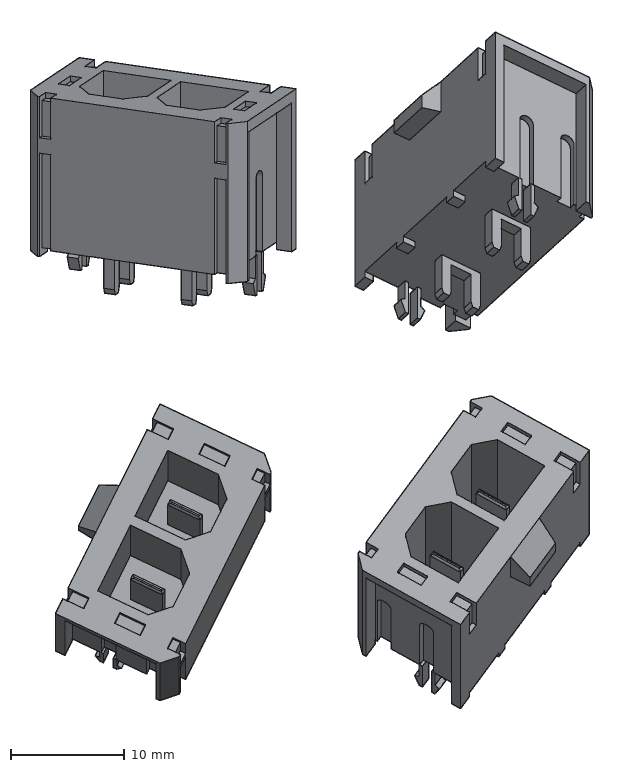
import cadquery as cq


width = 21.08
depth = 11.53
height = 14.84
overall_height = 18.57
corner_chamfer = 1.27
standoff = 0.67

ramp_reach = 1.86
ramp_base_width = 4.7
ramp_tip_width = 4.16
ramp_tip_top_drop = 2.32
ramp_tip_bottom_drop = 3.82
ramp_base_bottom_drop = 3.52

pitch = 7.52
cavity_size = 6.6
cavity_chamfer = 1.65
cavity_depth = 12.0

recess_depth = 1.5
recess_front = 1.65
recess_back = 10.58
recess_top_wall = 1.05

groove_width = 1.07
groove_outer = width / 2 - recess_depth
groove_center = groove_outer - groove_width / 2
front_groove_depth = 0.52
back_groove_depth = 0.45
top_groove_depth = 0.52
front_groove_run = 1.26
back_groove_run = 2.04
upper_groove_length = 3.82
lower_groove_drop = 5.25
top_window_length = 2.5
top_window_y = 5.2

foot_length = 1.26
foot_width = 1.05

clip_slot_width = 1.44
clip_slot_depth = 0.58
clip_slot_drop = 6.49
clip_slot_ys = (2.58, 7.02)

clip_y = 7.06
clip_half_gap = 0.48
clip_half_width = 0.86
clip_barb_half_width = 1.3
clip_tip_half_width = 0.82
clip_neck_z = -1.4
clip_barb_z = -1.73
clip_bottom_z = -3.0

contact_y = depth / 2
blade_thickness = 0.54
blade_length = 3.16
blade_top_drop = 4.0
blade_tip_chamfer = 0.2
leg_thickness = 1.05
leg_width = 1.02
leg_tip_width = 0.66
leg_tip_height = 0.52
leg_ys = (3.66, 6.84)
leg_bottom_z = height - overall_height

contact_xs = (-pitch / 2, pitch / 2)


def box(x_range, y_range, z_range):
    """Axis-aligned block given by its limits on each axis."""
    spans = [high - low for low, high in (x_range, y_range, z_range)]
    corner = (x_range[0], y_range[0], z_range[0])
    return cq.Workplane("XY").box(*spans, centered=False).translate(corner)


def mirrored_pair(feature):
    """The feature together with its mirror image across X = 0."""
    return feature.union(feature.mirror("YZ"))


def profile_across_x(points, center_x, thickness):
    """Plate of the given thickness, centred on center_x, from a (y, z) outline."""
    plate = cq.Workplane("YZ").polyline(points).close().extrude(thickness / 2, both=True)
    return plate.translate((center_x, 0, 0))


def make_housing():
    shell = box((-width / 2, width / 2), (0, depth), (0, height))
    shell = shell.edges("|Z and <Y").chamfer(corner_chamfer)
    return shell.cut(box((-groove_outer, groove_outer), (0, depth), (0, standoff)))


def make_ramp():
    side_profile = profile_across_x(
        [
            (depth, height),
            (depth + ramp_reach, height - ramp_tip_top_drop),
            (depth + ramp_reach, height - ramp_tip_bottom_drop),
            (depth, height - ramp_base_bottom_drop),
        ],
        0,
        ramp_base_width,
    )
    top_profile = (
        cq.Workplane("XY")
        .polyline(
            [
                (-ramp_base_width / 2, depth),
                (-ramp_tip_width / 2, depth + ramp_reach),
                (ramp_tip_width / 2, depth + ramp_reach),
                (ramp_base_width / 2, depth),
            ]
        )
        .close()
        .extrude(height)
    )
    return side_profile.intersect(top_profile)


def make_cavity(center_x):
    cavity = box(
        (center_x - cavity_size / 2, center_x + cavity_size / 2),
        (contact_y - cavity_size / 2, contact_y + cavity_size / 2),
        (height - cavity_depth, height),
    )
    return cavity.edges("|Z and <Y").chamfer(cavity_chamfer)


def make_recess():
    return box(
        (groove_outer, width / 2),
        (recess_front, recess_back),
        (0, height - recess_top_wall),
    )


def make_clip_slot(center_y):
    radius = clip_slot_width / 2
    arc_center_z = height - clip_slot_drop - radius
    floor_x = groove_outer - clip_slot_depth
    slot = box(
        (floor_x, groove_outer),
        (center_y - radius, center_y + radius),
        (0, arc_center_z),
    )
    rounded_top = (
        cq.Workplane("YZ", origin=(floor_x, center_y, arc_center_z))
        .circle(radius)
        .extrude(clip_slot_depth)
    )
    return slot.union(rounded_top)


def make_grooves():
    x_range = (groove_outer - groove_width, groove_outer)
    top_range = (height - top_groove_depth, height)
    upper_range = (height - upper_groove_length, height)
    window_range = (top_window_y - top_window_length / 2, top_window_y + top_window_length / 2)
    grooves = box(x_range, (0, front_groove_run), top_range)
    grooves = grooves.union(box(x_range, (0, front_groove_depth), upper_range))
    grooves = grooves.union(box(x_range, (0, front_groove_depth), (0, height - lower_groove_drop)))
    grooves = grooves.union(box(x_range, window_range, top_range))
    grooves = grooves.union(box(x_range, (depth - back_groove_run, depth), top_range))
    return grooves.union(box(x_range, (depth - back_groove_depth, depth), upper_range))


def make_foot(center_x):
    """Stand-off foot under the back wall, in line with a contact."""
    return box(
        (center_x - foot_width / 2, center_x + foot_width / 2),
        (depth - foot_length, depth),
        (0, standoff),
    )


def make_clip_prong(direction):
    """Barbed prong; direction is -1 for the front prong and +1 for the back one."""
    half_outline = [
        (clip_half_gap, standoff),
        (clip_half_width, standoff),
        (clip_half_width, clip_neck_z),
        (clip_barb_half_width, clip_barb_z),
        (clip_tip_half_width, clip_bottom_z),
        (clip_half_gap, clip_bottom_z),
    ]
    points = [(clip_y + direction * offset, z) for offset, z in half_outline]
    return profile_across_x(points, groove_center, groove_width)


def make_blade(center_x):
    blade = box(
        (center_x - blade_thickness / 2, center_x + blade_thickness / 2),
        (contact_y - blade_length / 2, contact_y + blade_length / 2),
        (height - cavity_depth, height - blade_top_drop),
    )
    return blade.faces(">Z").chamfer(blade_tip_chamfer)


def make_leg(center_x, center_y):
    taper_z = leg_bottom_z + leg_tip_height
    points = [
        (center_y - leg_width / 2, standoff),
        (center_y - leg_width / 2, taper_z),
        (center_y - leg_tip_width / 2, leg_bottom_z),
        (center_y + leg_tip_width / 2, leg_bottom_z),
        (center_y + leg_width / 2, taper_z),
        (center_y + leg_width / 2, standoff),
    ]
    return profile_across_x(points, center_x, leg_thickness)


def make_leg_bridge(center_x):
    return box(
        (center_x - leg_thickness / 2, center_x + leg_thickness / 2),
        leg_ys,
        (0, standoff),
    )


result = make_housing().union(make_ramp())

result = result.cut(mirrored_pair(make_recess()))
result = result.cut(mirrored_pair(make_grooves()))
for slot_y in clip_slot_ys:
    result = result.cut(mirrored_pair(make_clip_slot(slot_y)))

for prong_direction in (-1, 1):
    result = result.union(mirrored_pair(make_clip_prong(prong_direction)))

for contact_x in contact_xs:
    result = result.cut(make_cavity(contact_x))
    result = result.union(make_blade(contact_x))
    result = result.union(make_foot(contact_x))
    result = result.union(make_leg_bridge(contact_x))
    for leg_y in leg_ys:
        result = result.union(make_leg(contact_x, leg_y))